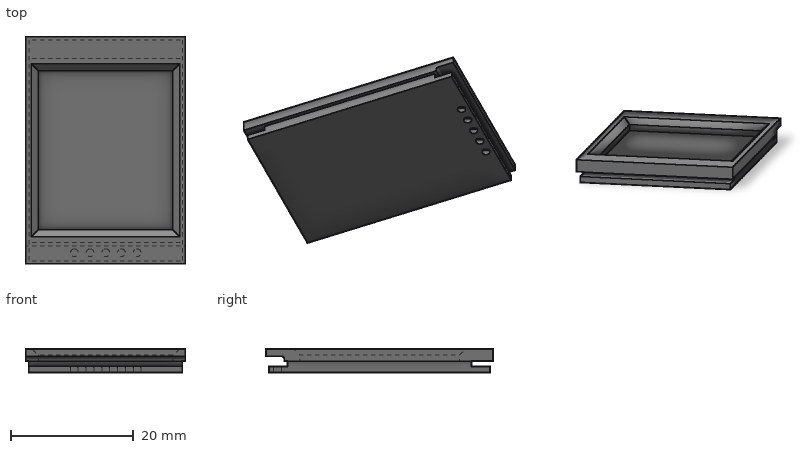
import cadquery as cq

BEZEL_WIDTH = 26.0
BEZEL_LENGTH = 37.0
TOTAL_HEIGHT = 3.9
WINDOW_WIDTH = 24.12
WINDOW_LENGTH = 28.12
WINDOW_TAPER_INSET = 1.1
WINDOW_TAPER_DEPTH = 1.0

RELIEF_LENGTH = 2.95
RELIEF_TOP = 2.65
RELIEF_FILLET = 0.37

BASE_WIDTH = 25.0
BASE_LENGTH = 36.0
FLANGE_THICKNESS = 1.0
DECK_LENGTH = 30.0
DECK_TOP = 1.9

HOLE_DIAMETER = 1.25
HOLE_COUNT = 5
HOLE_PITCH = 2.55
HOLE_ROW_Y = -16.65


def make_bezel():
    """Rectangular frame resting on the base deck."""
    plate = (
        cq.Workplane("XY")
        .workplane(offset=DECK_TOP)
        .rect(BEZEL_WIDTH, BEZEL_LENGTH)
        .extrude(TOTAL_HEIGHT - DECK_TOP)
    )
    return plate.cut(make_window()).cut(make_relief())


def make_window():
    """Straight lower opening that widens to a sloped rim at the top face."""
    floor_width = WINDOW_WIDTH - 2 * WINDOW_TAPER_INSET
    floor_length = WINDOW_LENGTH - 2 * WINDOW_TAPER_INSET
    taper_bottom = TOTAL_HEIGHT - WINDOW_TAPER_DEPTH
    opening = (
        cq.Workplane("XY")
        .workplane(offset=DECK_TOP)
        .rect(floor_width, floor_length)
        .extrude(taper_bottom - DECK_TOP)
    )
    sloped_rim = (
        cq.Workplane("XY")
        .workplane(offset=taper_bottom)
        .rect(floor_width, floor_length)
        .workplane(offset=WINDOW_TAPER_DEPTH)
        .rect(WINDOW_WIDTH, WINDOW_LENGTH)
        .loft(ruled=True)
    )
    return opening.union(sloped_rim)


def make_relief():
    """Full-width step under the -Y end, rounded in its inner corner."""
    return (
        cq.Workplane("XY")
        .box(BEZEL_WIDTH, RELIEF_LENGTH, RELIEF_TOP - DECK_TOP, centered=(True, False, False))
        .edges(">Y and >Z")
        .fillet(RELIEF_FILLET)
        .translate((0, -BEZEL_LENGTH / 2, DECK_TOP))
    )


def hole_centers():
    """Hole positions, centered along X."""
    first_x = -HOLE_PITCH * (HOLE_COUNT - 1) / 2
    return [
        (first_x + i * HOLE_PITCH, HOLE_ROW_Y)
        for i in range(HOLE_COUNT)
    ]


def make_base():
    """Lower plate whose deck fills the window floor, with holes in one flange."""
    flange = cq.Workplane("XY").rect(BASE_WIDTH, BASE_LENGTH).extrude(FLANGE_THICKNESS)
    deck = cq.Workplane("XY").rect(BASE_WIDTH, DECK_LENGTH).extrude(DECK_TOP)
    holes = (
        cq.Workplane("XY")
        .pushPoints(hole_centers())
        .circle(HOLE_DIAMETER / 2)
        .extrude(FLANGE_THICKNESS)
    )
    return flange.union(deck).cut(holes)


bezel = make_bezel()
base = make_base()
result = cq.Compound.makeCompound([bezel.val(), base.val()])